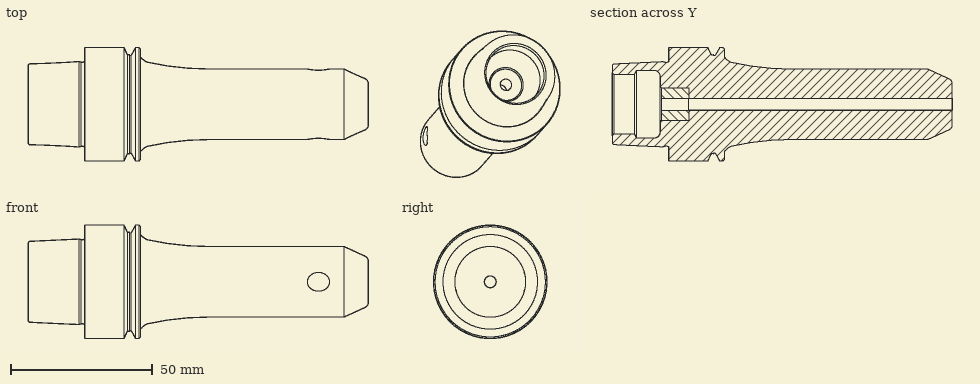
import cadquery as cq
import math

total_length = 119.9

taper_length = 18.0
taper_end_radius = 14.3
taper_base_radius = 15.1
taper_end_round = 0.8

undercut_radius = 14.9
undercut_slope_length = 0.6
undercut_round = 0.7
face_relief_depth = 0.1
face_relief_radius = 16.1

flange_radius = 20.0
flange_start = 19.9
flange_end = 39.7
flange_front_chamfer = 0.2
flange_back_chamfer = 0.6
groove_start = 33.8
groove_end = 37.9
groove_floor_start = 35.0
groove_step = 35.7
groove_floor_end = 36.3
groove_floor_radius = 17.5
groove_step_depth = 0.2

arbor_radius = 12.5
root_fillet_radius = 16.7
root_fillet_mid = (40.6, 15.65)
flare_start = 42.0
flare_start_radius = 14.9
flare_end = 63.7
cone_start = 111.3
cone_end_radius = 8.5
nose_round = 2.0

bore_radius = 10.4
bore_chamfer_length = 0.7
bore_mouth_radius = 11.0
lip_end = 7.9
cavity_radius = 11.9
cavity_start = 8.6
cavity_floor = 16.9
cavity_round = 2.0

plug_hole_radius = 5.6
plug_hole_chamfer = 0.5
plug_length = 9.6
channel_radius = 2.0

seat_x = 102.3
seat_ball_radius = 6.0
seat_depth = 1.4

plug_start = cavity_floor + plug_hole_chamfer
plug_end = plug_start + plug_length


def revolve_about_x(profile):
    """Turn a closed profile, drawn as (x, radius), about the X axis."""
    return profile.close().revolve(360, (0, 0, 0), (1, 0, 0))


def flare_mid_point():
    """Middle of the arc that meets the arbor cylinder tangentially."""
    run = flare_end - flare_start
    rise = flare_start_radius - arbor_radius
    arc_radius = (run**2 + rise**2) / (2 * rise)
    half_angle = math.asin(run / arc_radius) / 2
    x = flare_end - arc_radius * math.sin(half_angle)
    radius = arbor_radius + arc_radius * (1 - math.cos(half_angle))
    return x, radius


def make_outer_shape():
    relief_face = flange_start + face_relief_depth
    bottom_end = relief_face - undercut_round
    round_end_radius = undercut_radius + undercut_round
    round_sag = undercut_round * math.sqrt(0.5)
    undercut_mid = (bottom_end + round_sag, round_end_radius - round_sag)
    groove_step_radius = groove_floor_radius - groove_step_depth
    profile = (
        cq.Workplane("XZ")
        .lineTo(0, taper_end_radius)
        .lineTo(taper_length, taper_base_radius)
        .lineTo(taper_length + undercut_slope_length, undercut_radius)
        .lineTo(bottom_end, undercut_radius)
        .threePointArc(undercut_mid, (relief_face, round_end_radius))
        .lineTo(flange_start, face_relief_radius)
        .lineTo(flange_start, flange_radius - flange_front_chamfer)
        .lineTo(flange_start + flange_front_chamfer, flange_radius)
        .lineTo(groove_start, flange_radius)
        .lineTo(groove_floor_start, groove_floor_radius)
        .lineTo(groove_step, groove_floor_radius)
        .lineTo(groove_step, groove_step_radius)
        .lineTo(groove_floor_end, groove_step_radius)
        .lineTo(groove_end, flange_radius)
        .lineTo(flange_end - flange_back_chamfer, flange_radius)
        .lineTo(flange_end, flange_radius - flange_back_chamfer)
        .lineTo(flange_end, root_fillet_radius)
        .threePointArc(root_fillet_mid, (flare_start, flare_start_radius))
        .threePointArc(flare_mid_point(), (flare_end, arbor_radius))
        .lineTo(cone_start, arbor_radius)
        .lineTo(total_length, cone_end_radius)
        .lineTo(total_length, 0)
    )
    shape = revolve_about_x(profile)
    shape = shape.faces("<X").edges().fillet(taper_end_round)
    return shape.faces(">X").edges().fillet(nose_round)


def make_bore():
    round_sag = cavity_round * math.sqrt(0.5)
    round_start = cavity_floor - cavity_round
    round_end_radius = cavity_radius - cavity_round
    round_mid = (round_start + round_sag, round_end_radius + round_sag)
    profile = (
        cq.Workplane("XZ")
        .lineTo(0, bore_mouth_radius)
        .lineTo(bore_chamfer_length, bore_radius)
        .lineTo(lip_end, bore_radius)
        .lineTo(cavity_start, cavity_radius)
        .lineTo(round_start, cavity_radius)
        .threePointArc(round_mid, (cavity_floor, round_end_radius))
        .lineTo(cavity_floor, plug_hole_radius + plug_hole_chamfer)
        .lineTo(plug_start, plug_hole_radius)
        .lineTo(plug_end, plug_hole_radius)
        .lineTo(plug_end, channel_radius)
        .lineTo(total_length, channel_radius)
        .lineTo(total_length, 0)
    )
    return revolve_about_x(profile)


def make_ball_seats():
    offset = arbor_radius - seat_depth + seat_ball_radius
    seats = cq.Workplane("XY").pushPoints([(seat_x, -offset), (seat_x, offset)])
    return seats.sphere(seat_ball_radius)


def make_holder():
    return make_outer_shape().cut(make_bore()).cut(make_ball_seats())


def make_plug():
    plug = cq.Workplane("YZ", origin=(plug_start, 0, 0))
    return plug.circle(plug_hole_radius).circle(channel_radius).extrude(plug_length)


holder = make_holder()
plug = make_plug()
result = cq.Compound.makeCompound([holder.val(), plug.val()])